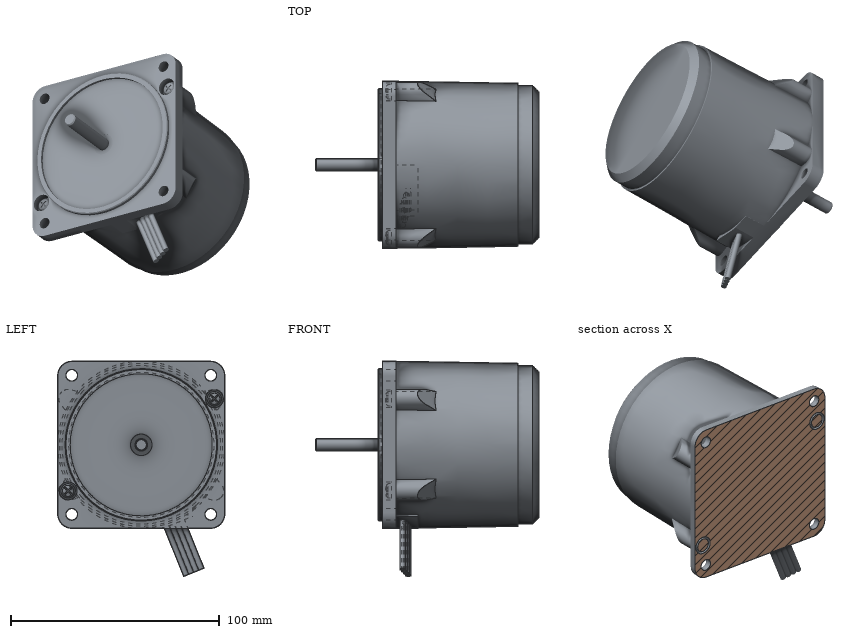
import cadquery as cq
import math


flange_side = 80.0
flange_thickness = 6.5
flange_corner_radius = 7.0
mount_hole_diameter = 5.5
mount_hole_offset = 33.3

pilot_radius = 36.5
pilot_height = 2.0
pilot_chamfer = 0.4
dish_radius = 34.0
dish_depth = 1.5
bearing_radius = 5.1
bearing_depth = 0.1

shaft_radius = 3.0
shaft_length = 30.0
shaft_chamfer = 0.5

collar_end = 7.2
housing_front_radius = 40.0
housing_rear_radius = 39.1
housing_end = 65.0
cap_radius = 38.0
cap_end = 75.0
cap_chamfer = 3.2

lug_y = 35.0
lug_z = 22.0
lug_radius = 4.5
lug_flare = math.radians(18)
lug_embedment = 8.0
lug_ramp_start = 16.8
lug_ramp_end = 25.3

counterbore_radius = 4.3
counterbore_depth = 4.3
screw_radius = 3.4
screw_shoulder_radius = 2.7
screw_rim_depth = 2.8
screw_shoulder_depth = 1.9
screw_crown_depth = 1.5
cross_length = 4.1
cross_width = 0.6
cross_depth = 1.3

cable_angle = math.radians(22)
outlet_radius = 41.0
outlet_flat_length = 10.0
outlet_end = 17.1
outlet_root_y = 21.4
outlet_root_z = 33.4
wire_count = 4
wire_radius = 1.4
wire_end = 66.0
wire_embedment = 2.1
wire_start = outlet_radius - wire_embedment
first_wire_x = 9.7
first_wire_shift = 4.4
wire_pitch_x = 0.9
wire_pitch_across = 2.59


def x_cylinder(radius, x_start, x_end, y=0.0, z=0.0):
    """Cylinder parallel to the motor axis."""
    return cq.Workplane("YZ", origin=(x_start, y, z)).circle(radius).extrude(x_end - x_start)


def make_flange():
    plate = cq.Workplane("YZ").rect(flange_side, flange_side).extrude(flange_thickness)
    plate = plate.edges("|X").fillet(flange_corner_radius)
    pilot = x_cylinder(pilot_radius, -pilot_height, 0).faces("<X").chamfer(pilot_chamfer)
    dish_floor = dish_depth - pilot_height
    dish = x_cylinder(dish_radius, -pilot_height, dish_floor)
    bearing_seat = x_cylinder(bearing_radius, dish_floor, dish_floor + bearing_depth)
    return plate.union(pilot).cut(dish).cut(bearing_seat)


def make_housing():
    return (
        cq.Workplane("XY")
        .lineTo(0, housing_front_radius)
        .lineTo(collar_end, housing_front_radius)
        .lineTo(housing_end, housing_rear_radius)
        .lineTo(housing_end, cap_radius)
        .lineTo(cap_end - cap_chamfer, cap_radius)
        .lineTo(cap_end, cap_radius - cap_chamfer)
        .lineTo(cap_end, 0)
        .close()
        .revolve(360, (0, 0, 0), (1, 0, 0))
    )


def make_shaft():
    shaft = x_cylinder(shaft_radius, -pilot_height - shaft_length, flange_thickness)
    return shaft.faces("<X").chamfer(shaft_chamfer)


def make_lug(side_y, side_z):
    """Round-nosed lug with flared flanks, cut off by a ramp that meets the housing."""
    center_distance = math.hypot(lug_y, lug_z)
    nose = center_distance + lug_radius
    root = housing_front_radius - lug_embedment
    tangent_out = center_distance + lug_radius * math.sin(lug_flare)
    tangent_half = lug_radius * math.cos(lug_flare)
    root_half = tangent_half + (tangent_out - root) * math.tan(lug_flare)
    profile = (
        cq.Workplane("YZ", origin=(flange_thickness, 0, 0))
        .moveTo(root, -root_half)
        .lineTo(tangent_out, -tangent_half)
        .threePointArc((nose, 0), (tangent_out, tangent_half))
        .lineTo(root, root_half)
        .close()
        .extrude(lug_ramp_end + lug_radius - flange_thickness)
    )
    housing_slope = (housing_front_radius - housing_rear_radius) / (housing_end - collar_end)
    ramp_foot = housing_front_radius - housing_slope * (lug_ramp_end - collar_end)
    ramp_run = lug_ramp_end - lug_ramp_start
    ramp_rise = nose - ramp_foot
    ramp_overrun = 2.0
    beyond_ramp = (
        cq.Workplane("XY")
        .moveTo(lug_ramp_start - ramp_run, nose + ramp_rise)
        .lineTo(lug_ramp_start + ramp_overrun * ramp_run, nose - ramp_overrun * ramp_rise)
        .lineTo(lug_ramp_start + ramp_overrun * ramp_run, nose + ramp_rise)
        .close()
        .extrude(2 * root_half, both=True)
    )
    angle = math.degrees(math.atan2(side_z * lug_z, side_y * lug_y))
    return profile.cut(beyond_ramp).rotate((0, 0, 0), (1, 0, 0), angle)


def make_screw():
    """Cross-recess screw head on the motor axis: bevelled rim below a domed crown."""
    dome_mid_radius = screw_shoulder_radius / 2
    dome_mid_depth = screw_crown_depth + (screw_shoulder_depth - screw_crown_depth) / 4
    head = (
        cq.Workplane("XY")
        .moveTo(counterbore_depth, 0)
        .lineTo(counterbore_depth, screw_radius)
        .lineTo(screw_rim_depth, screw_radius)
        .lineTo(screw_shoulder_depth, screw_shoulder_radius)
        .threePointArc((dome_mid_depth, dome_mid_radius), (screw_crown_depth, 0))
        .close()
        .revolve(360, (0, 0, 0), (1, 0, 0))
    )
    for angle in (45, 135):
        slot = cq.Workplane("YZ", origin=(screw_crown_depth, 0, 0)).rect(cross_length, cross_width)
        head = head.cut(slot.extrude(cross_depth).rotate((0, 0, 0), (1, 0, 0), angle))
    return head


def cable_point(outward, across):
    """(Y, Z) of a point at a distance along the cable direction and across the ribbon toward -Y."""
    y = -outward * math.sin(cable_angle) - across * math.cos(cable_angle)
    z = -outward * math.cos(cable_angle) + across * math.sin(cable_angle)
    return y, z


def make_outlet():
    """Pad under the housing: a flat square to the cable, then an arc down to the flange edge."""
    bottom_z = -flange_side / 2
    arc_end_angle = math.acos(-bottom_z / outlet_radius)
    arc_mid_angle = (cable_angle + arc_end_angle) / 2
    arc_mid = (-outlet_radius * math.sin(arc_mid_angle), -outlet_radius * math.cos(arc_mid_angle))
    arc_end = (-outlet_radius * math.sin(arc_end_angle), bottom_z)
    return (
        cq.Workplane("YZ", origin=(flange_thickness, 0, 0))
        .moveTo(0, -outlet_root_z)
        .lineTo(-outlet_root_y, -outlet_root_z)
        .lineTo(*cable_point(outlet_radius, outlet_flat_length))
        .lineTo(*cable_point(outlet_radius, 0))
        .threePointArc(arc_mid, arc_end)
        .lineTo(0, bottom_z)
        .close()
        .extrude(outlet_end - flange_thickness)
    )


def make_wire(index):
    x = first_wire_x + index * wire_pitch_x
    y, z = cable_point(wire_start, first_wire_shift - index * wire_pitch_across)
    direction = (0, -math.sin(cable_angle), -math.cos(cable_angle))
    plane = cq.Plane(origin=(x, y, z), xDir=(1, 0, 0), normal=direction)
    return cq.Workplane(plane).circle(wire_radius).extrude(wire_end - wire_start)


result = make_flange().union(make_housing())

for side_y in (-1, 1):
    for side_z in (-1, 1):
        result = result.union(make_lug(side_y, side_z))

result = result.union(make_outlet())
for wire_index in range(wire_count):
    result = result.union(make_wire(wire_index))

for hole_y in (-mount_hole_offset, mount_hole_offset):
    for hole_z in (-mount_hole_offset, mount_hole_offset):
        result = result.cut(x_cylinder(mount_hole_diameter / 2, 0, flange_thickness, hole_y, hole_z))

for side in (-1, 1):
    screw_y = side * lug_y
    screw_z = -side * lug_z
    result = result.cut(x_cylinder(counterbore_radius, 0, counterbore_depth, screw_y, screw_z))
    result = result.union(make_screw().translate((0, screw_y, screw_z)))

result = result.union(make_shaft())